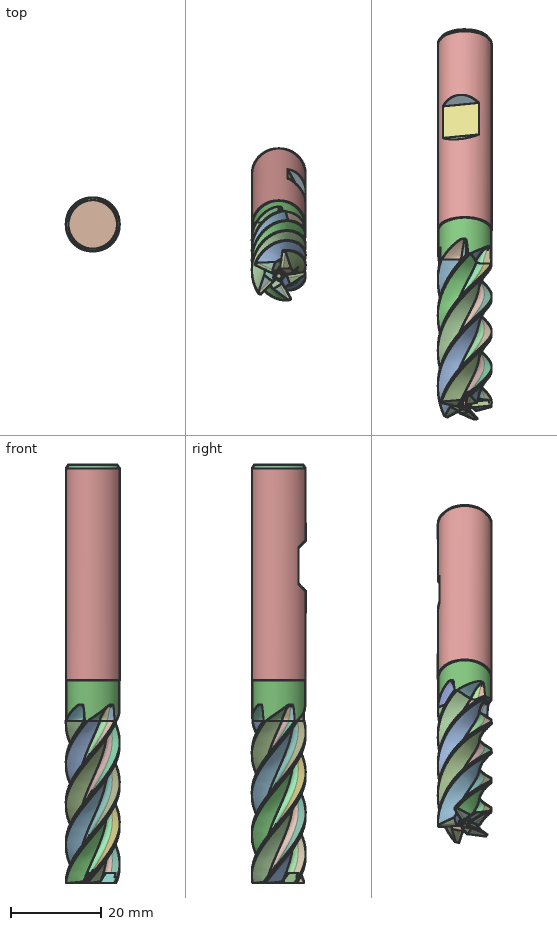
import cadquery as cq
import math

CUT_DIAMETER = 12.0
SHANK_DIAMETER = 12.0
NECK_DIAMETER = 11.8
OVERALL_LENGTH = 93.0
CUT_LENGTH = 36.0
NECK_END = 45.0

END_CHAMFER_RADIAL = 0.6
END_CHAMFER_HEIGHT = 0.85
FLAT_TO_AXIS = 4.4
FLAT_LENGTH = 8.0
FLAT_FROM_END = 22.5

TOOTH_COUNT = 5
HELIX_ANGLE = 40.0
FIRST_EDGE_ANGLE = 180.0
MARGIN_ANGLE = 6.0
BACK_FOOT_RADIUS = 3.2
BACK_FOOT_ANGLE = 48.0
ROOT_RADIUS = 3.3
ROOT_ANGLE = 58.0
RAKE_FOOT_RADIUS = 4.35
RAKE_FOOT_ANGLE = 67.6
CORNER_CHAMFER = 0.25

RUNOUT_END = 39.7
RUNOUT_BACK_TURN = 51.0
RUNOUT_RAKE_TURN = 6.0
RUNOUT_OUTER_RADIUS = 9.0
RUNOUT_STEPS = 4

GASH_HEIGHT = 2.3
GASH_FLOOR_WIDTH = 1.2
GASH_FLANK_ANGLE = 50.0
GASH_RAKE_ANGLE = 34.0
GASH_INNER_RADIUS = 0.6

RELIEF_ANGLE = 12.0
RELIEF_START = 0.7
RELIEF_END = 2.4
RELIEF_INNER_RADIUS = 1.4

CUT_RADIUS = CUT_DIAMETER / 2
SHANK_RADIUS = SHANK_DIAMETER / 2
TOOTH_PITCH = 360.0 / TOOTH_COUNT
LEAD = math.pi * CUT_DIAMETER / math.tan(math.radians(HELIX_ANGLE))
CLEARANCE = 1.0


def helix_turn(height):
    """Angle in degrees that the flutes turn through over a height."""
    return 360.0 * height / LEAD


def polar(radius, angle):
    a = math.radians(angle)
    return (radius * math.cos(a), radius * math.sin(a))


def tooth_profile():
    """Cross-section of the fluted body at the tip."""
    profile = cq.Workplane("XY").moveTo(*polar(CUT_RADIUS, FIRST_EDGE_ANGLE))
    for tooth in range(TOOTH_COUNT):
        edge = FIRST_EDGE_ANGLE + tooth * TOOTH_PITCH
        profile = (
            profile
            .threePointArc(
                polar(CUT_RADIUS, edge + MARGIN_ANGLE / 2),
                polar(CUT_RADIUS, edge + MARGIN_ANGLE),
            )
            .lineTo(*polar(BACK_FOOT_RADIUS, edge + BACK_FOOT_ANGLE))
            .threePointArc(
                polar(ROOT_RADIUS, edge + ROOT_ANGLE),
                polar(RAKE_FOOT_RADIUS, edge + RAKE_FOOT_ANGLE),
            )
            .lineTo(*polar(CUT_RADIUS, edge + TOOTH_PITCH))
        )
    return profile.close()


def gash():
    """Wedge in front of the end cutting edge that lies along +X."""
    lean = math.tan(math.radians(GASH_RAKE_ANGLE))
    slope = math.tan(math.radians(GASH_FLANK_ANGLE))
    wall_top = GASH_HEIGHT * lean
    below = -CLEARANCE
    return (
        cq.Workplane("YZ", origin=(GASH_INNER_RADIUS, 0, 0))
        .polyline([
            (below * lean, below),
            (wall_top, GASH_HEIGHT),
            (wall_top - GASH_FLOOR_WIDTH, GASH_HEIGHT),
            (wall_top - GASH_FLOOR_WIDTH - (GASH_HEIGHT - below) / slope, below),
        ])
        .close()
        .extrude(CUT_RADIUS)
    )


def end_relief():
    """Wedge under the tip face behind the end cutting edge that lies along +X."""
    rise = (RELIEF_END - RELIEF_START) * math.tan(math.radians(RELIEF_ANGLE))
    return (
        cq.Workplane("YZ", origin=(RELIEF_INNER_RADIUS, 0, 0))
        .polyline([
            (RELIEF_START, -CLEARANCE),
            (RELIEF_START, 0),
            (RELIEF_END, rise),
            (RELIEF_END, -CLEARANCE),
        ])
        .close()
        .extrude(CUT_RADIUS)
    )


def corner_ring():
    """Ring that bevels the outer corners of the teeth at the tip."""
    return (
        cq.Workplane("XZ")
        .polyline([
            (CUT_RADIUS - CORNER_CHAMFER - CLEARANCE, -CLEARANCE),
            (CUT_RADIUS + CLEARANCE, CORNER_CHAMFER + CLEARANCE),
            (CUT_RADIUS + CLEARANCE, -CLEARANCE),
        ])
        .close()
        .revolve(360, (0, 0, 0), (0, 1, 0))
    )


def make_cutter():
    fluted_bar = tooth_profile().twistExtrude(CUT_LENGTH, helix_turn(CUT_LENGTH))
    tip_cuts = [corner_ring().val()]
    for tooth in range(TOOTH_COUNT):
        edge = FIRST_EDGE_ANGLE + tooth * TOOTH_PITCH
        for tip_cut in (gash(), end_relief()):
            tip_cuts.append(tip_cut.rotate((0, 0, 0), (0, 0, 1), edge).val())
    return cq.Workplane(obj=fluted_bar.val().cut(*tip_cuts))


def runout_section(fraction, start_edge):
    """Closed outline of the flute void at a fraction of the run-out height."""
    openness = math.sqrt(1 - fraction ** 2)
    first_angle = MARGIN_ANGLE + RUNOUT_BACK_TURN * fraction
    last_angle = TOOTH_PITCH - RUNOUT_RAKE_TURN * (1 - openness)
    squeeze = (last_angle - first_angle) / (TOOTH_PITCH - MARGIN_ANGLE)
    height = CUT_LENGTH + fraction * (RUNOUT_END - CUT_LENGTH)

    def place(radius, angle):
        raised = CUT_RADIUS - (CUT_RADIUS - radius) * openness
        x, y = polar(raised, start_edge + first_angle + (angle - MARGIN_ANGLE) * squeeze)
        return cq.Vector(x, y, height)

    def place_outside(angle):
        x, y = polar(RUNOUT_OUTER_RADIUS, start_edge + angle)
        return cq.Vector(x, y, height)

    back_top = place(CUT_RADIUS, MARGIN_ANGLE)
    back_foot = place(BACK_FOOT_RADIUS, BACK_FOOT_ANGLE)
    root = place(ROOT_RADIUS, ROOT_ANGLE)
    rake_foot = place(RAKE_FOOT_RADIUS, RAKE_FOOT_ANGLE)
    rake_top = place(CUT_RADIUS, TOOTH_PITCH)
    rake_outside = place_outside(last_angle)
    back_outside = place_outside(first_angle)
    return cq.Wire.assembleEdges([
        cq.Edge.makeLine(back_top, back_foot),
        cq.Edge.makeThreePointArc(back_foot, root, rake_foot),
        cq.Edge.makeLine(rake_foot, rake_top),
        cq.Edge.makeLine(rake_top, rake_outside),
        cq.Edge.makeLine(rake_outside, back_outside),
        cq.Edge.makeLine(back_outside, back_top),
    ])


def runout(start_edge):
    """Flute void above the cutting body, rounding up to the neck surface."""
    quarter_turn = math.pi / 2
    sections = [
        runout_section(math.sin(quarter_turn * step / RUNOUT_STEPS), start_edge)
        for step in range(RUNOUT_STEPS + 1)
    ]
    return cq.Workplane(obj=cq.Solid.makeLoft(sections))


def holder_blank():
    """Round neck and shank, with the step between them and the bevelled shank end."""
    neck_radius = NECK_DIAMETER / 2
    step = SHANK_RADIUS - neck_radius
    return (
        cq.Workplane("XZ")
        .moveTo(0, CUT_LENGTH)
        .lineTo(neck_radius, CUT_LENGTH)
        .lineTo(neck_radius, NECK_END)
        .lineTo(SHANK_RADIUS, NECK_END + step)
        .lineTo(SHANK_RADIUS, OVERALL_LENGTH - END_CHAMFER_HEIGHT)
        .lineTo(SHANK_RADIUS - END_CHAMFER_RADIAL, OVERALL_LENGTH)
        .lineTo(0, OVERALL_LENGTH)
        .close()
        .revolve(360, (0, 0, 0), (0, 1, 0))
    )


def clamping_flat():
    """Void over the clamping flat, with 45 degree ends."""
    half = FLAT_LENGTH / 2
    depth = SHANK_RADIUS + CLEARANCE - FLAT_TO_AXIS
    middle = OVERALL_LENGTH - FLAT_FROM_END
    return (
        cq.Workplane("YZ")
        .polyline([
            (FLAT_TO_AXIS, middle - half),
            (FLAT_TO_AXIS, middle + half),
            (FLAT_TO_AXIS + depth, middle + half + depth),
            (FLAT_TO_AXIS + depth, middle - half - depth),
        ])
        .close()
        .extrude(SHANK_RADIUS + CLEARANCE, both=True)
    )


def make_holder():
    holder = holder_blank().cut(clamping_flat())
    for tooth in range(TOOTH_COUNT):
        start_edge = FIRST_EDGE_ANGLE + tooth * TOOTH_PITCH + helix_turn(CUT_LENGTH)
        holder = holder.cut(runout(start_edge))
    return holder


cutter = make_cutter()
holder = make_holder()

result = cq.Compound.makeCompound([cutter.val(), holder.val()])